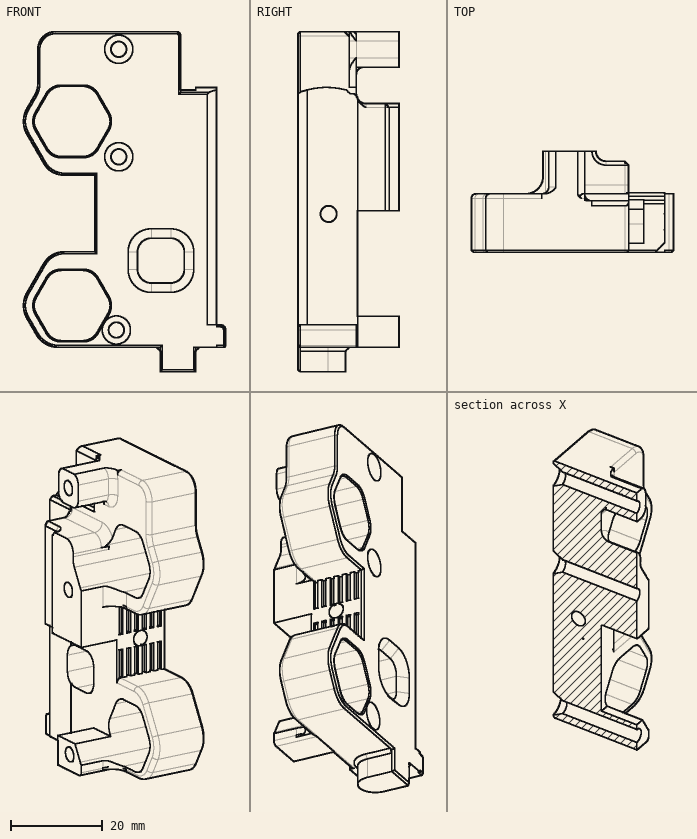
import cadquery as cq
import math


total_height = 74.15
plate_depth = 12.75
plate_left = 3.1
plate_right = 34.25
plate_bottom = 5.35
top_left_radius = 3.85
top_right_radius = 0.9
front_chamfer = 0.45
back_edge_radius = 1.0

bore_x = 10.6
lower_bore_z = 14.45
bore_spacing = 40.1
upper_bore_z = lower_bore_z + bore_spacing
bore_apothem = 7.65
bore_corner_radius = 3.55
bore_chamfer = 0.3
lobe_apothem = 9.9
lobe_tip_radius = 5.5
lobe_corner_radius = 5.05
lobe_reach = 11.7
neck_radius = 4.9
throat_x = 15.6

shelf_right = 42.1
shelf_depth = 13.0
shelf_edge_chamfer = 2.1
crown_y = 6.2
crown_top = 62.0
crown_radius = 16.7
crown_end_y = 10.5
shelf_back_step = 0.8
shelf_back_bevel = 0.75
shelf_slot_right = 37.5
shelf_slot_front = 2.0
shelf_slot_back = 11.4
shelf_slot_bottom = 51.9
slot_floor_end = 6.2
slot_floor_radius = 3.1

foot_right = 44.05
foot_top = 10.2
foot_top_radius = 1.05
tab_left = 29.8
tab_right = 37.5
tab_depth = 10.4
tab_root_flare = 0.8

back_reach = 22.0
screw_x = 20.75
lower_screw_x = 20.25
top_screw_z = 70.3
middle_screw_z = 46.85
lower_screw_z = 9.1
post_size = 7.85
post_radius = 2.1
post_root_radius = 1.5
block_top = 58.5
block_bottom = 35.1
block_left = 18.8
block_corner_radius = 2.75
block_step_x = 27.15
block_step_y = 19.9
block_step_radius = 2.15
block_edge_chamfer = 0.9
block_root_radius = 2.0
lower_post_top = 12.15
lower_post_radius = 1.0
web_radius = 3.7
relief_left = screw_x + post_size / 2
relief_y = 11.2
relief_bevel = 1.1

screw_diameter = 3.3
countersink_diameter = 6.15
countersink_depth = 2.5
window_x = 29.95
window_z = 24.25
window_width = 10.15
window_height = 9.7
window_radius = 3.0
window_bevel = 2.1
cross_hole_diameter = 3.5
cross_hole_y = 6.7
cross_hole_z = 34.4
groove_count = 6
groove_pitch = 2.0
groove_width = 1.0
groove_depth = 0.75
groove_gap = 3.55


def block(x0, x1, y0, y1, z0, z1):
    """Box between two corners."""
    return cq.Workplane("XY").box(x1 - x0, y1 - y0, z1 - z0, centered=False).translate((x0, y0, z0))


def hexagon(apothem, depth, z, radius):
    """Hexagonal prism with rounded corners, flats at top and bottom, running back from the front face."""
    return (
        cq.Workplane("XZ")
        .center(bore_x, z)
        .polygon(6, 2 * apothem / math.cos(math.radians(30)))
        .extrude(-depth)
        .edges("|Y")
        .fillet(radius)
    )


def lobe_corner_x(height):
    """X of the sloped lobe wall at a given distance above or below the bore centre."""
    tilt = math.radians(30)
    return bore_x - (lobe_apothem - abs(height) * math.sin(tilt)) / math.cos(tilt)


def edges_at(body, points, radius):
    """Round the edges running along Y that pass through the given X, Z points."""
    for x, z in points:
        near = 0.04
        box = cq.selectors.BoxSelector((x - near, -near, z - near), (x + near, back_reach, z + near))
        body = body.edges("|Y").edges(box).fillet(radius)
    return body


def make_relief():
    """Shallow cut across the back of the plate's upper right, bevelled at the top edge."""
    return (
        cq.Workplane("YZ")
        .moveTo(plate_depth, crown_top)
        .lineTo(relief_y, crown_top)
        .lineTo(relief_y, total_height - relief_bevel)
        .lineTo(relief_y - relief_bevel, total_height)
        .lineTo(plate_depth, total_height)
        .close()
        .extrude(plate_right - relief_left)
        .translate((relief_left, 0, 0))
    )


def make_plate():
    """Plate and both lobes from one outline, chamfered in front and rounded behind."""
    tip_x = lobe_corner_x(0)
    upper_bottom = upper_bore_z - lobe_reach
    lower_top = lower_bore_z + lobe_reach
    lower_drop = lower_bore_z - plate_bottom
    neck_z = upper_bore_z + (lobe_apothem - (bore_x - plate_left) * math.cos(math.radians(30))) * 2
    lobe_points = [
        (tip_x, upper_bore_z),
        (lobe_corner_x(lobe_reach), upper_bottom),
        (lobe_corner_x(lobe_reach), lower_top),
        (tip_x, lower_bore_z),
        (lobe_corner_x(lower_drop), plate_bottom),
    ]
    outline = [(plate_right, plate_bottom), (plate_right, total_height), (plate_left, total_height), (plate_left, neck_z)]
    outline += lobe_points[:2] + [(throat_x, upper_bottom), (throat_x, lower_top)] + lobe_points[2:]
    plate = cq.Workplane("XZ").polyline(outline).close().extrude(-plate_depth)
    plate = edges_at(plate, [lobe_points[0], lobe_points[3], lobe_points[4]], lobe_tip_radius)
    plate = edges_at(plate, lobe_points[1:3], lobe_corner_radius)
    plate = edges_at(plate, [(plate_left, neck_z)], neck_radius)
    plate = edges_at(plate, [(plate_left, total_height)], top_left_radius)
    plate = edges_at(plate, [(plate_right, total_height)], top_right_radius)
    plate = plate.cut(make_relief())
    plate = plate.faces("<Y").chamfer(front_chamfer)
    outer_left = cq.selectors.BoxSelector((-0.75, plate_depth - 0.1, 0), (throat_x - 0.4, plate_depth + 0.1, total_height + 0.75))
    return plate.edges(outer_left).fillet(back_edge_radius)


def make_shelf():
    """Shelf whose top is an arc seen along X, bevelled along its right front edge."""
    def arc_z(y):
        return crown_top - crown_radius + math.sqrt(crown_radius**2 - (y - crown_y) ** 2)

    front_z = arc_z(front_chamfer)
    shelf = (
        cq.Workplane("YZ")
        .moveTo(0, plate_bottom)
        .lineTo(0, front_z - front_chamfer)
        .lineTo(front_chamfer, front_z)
        .threePointArc((crown_y, crown_top), (crown_end_y, arc_z(crown_end_y)))
        .line(shelf_back_step, -shelf_back_step)
        .lineTo(shelf_depth - shelf_back_bevel, arc_z(crown_end_y) - shelf_back_step)
        .line(shelf_back_bevel, -shelf_back_bevel)
        .lineTo(shelf_depth, plate_bottom)
        .close()
        .extrude(shelf_right - plate_right + front_chamfer)
        .translate((plate_right - front_chamfer, 0, 0))
    )
    bevel = (
        cq.Workplane("XY")
        .moveTo(shelf_right, 0)
        .lineTo(shelf_right - shelf_edge_chamfer, 0)
        .lineTo(shelf_right, shelf_edge_chamfer)
        .close()
        .extrude(total_height)
    )
    return shelf.cut(bevel)


def make_shelf_slot():
    """Slot down into the shelf top; its floor rolls downward toward the back."""
    return (
        cq.Workplane("YZ")
        .moveTo(shelf_slot_front, total_height)
        .lineTo(shelf_slot_front, shelf_slot_bottom)
        .lineTo(slot_floor_end, shelf_slot_bottom)
        .radiusArc((slot_floor_end + slot_floor_radius, shelf_slot_bottom - slot_floor_radius), slot_floor_radius)
        .lineTo(shelf_slot_back, shelf_slot_bottom - slot_floor_radius)
        .lineTo(shelf_slot_back, total_height)
        .close()
        .extrude(shelf_slot_right - plate_right)
        .translate((plate_right, 0, 0))
    )


def make_foot():
    """Foot that runs out past the shelf at its lower end."""
    foot = block(plate_right - front_chamfer, foot_right, 0, plate_depth, plate_bottom, foot_top)
    foot = edges_at(foot, [(foot_right, foot_top)], foot_top_radius)
    foot = edges_at(foot, [(foot_right, plate_bottom)], front_chamfer)
    foot = foot.faces("<Y").edges(">X").chamfer(front_chamfer)
    return foot.union(block(plate_right - front_chamfer, shelf_right, 0, plate_depth, plate_bottom, foot_top))


def make_tab():
    """Tab below the plate with a half-round back and a sloped flare at its root."""
    half_width = (tab_right - tab_left) / 2

    def profile(z):
        return (
            cq.Workplane("XY", origin=(0, 0, z))
            .moveTo(tab_left, 0)
            .lineTo(tab_left, tab_depth - half_width)
            .threePointArc((tab_left + half_width, tab_depth), (tab_right, tab_depth - half_width))
            .lineTo(tab_right, 0)
            .close()
        )

    tab = profile(0).extrude(plate_bottom + 3 * front_chamfer)
    tab = tab.faces("<Y").edges().chamfer(front_chamfer)
    flare = profile(plate_bottom - tab_root_flare).extrude(tab_root_flare, taper=-45)
    behind_chamfer = block(0, foot_right, front_chamfer, plate_depth, 0, plate_bottom)
    return tab.union(flare.intersect(behind_chamfer))


def add_root_fillet(body, face_y, radius, z_min):
    """Stand a body on a flat pad whose back face is at face_y and round the joint above z_min."""
    pad = block(0, foot_right, face_y - radius, face_y, z_min, total_height + plate_depth)
    root = cq.selectors.BoxSelector(
        (throat_x, face_y - 0.1, z_min + 0.1), (plate_right - 0.1, face_y + 0.1, total_height + radius)
    )
    return pad.union(body).edges(root).fillet(radius)


def make_top_post():
    """Square post with rounded corners at the top screw, flared where it meets the plate."""
    half = post_size / 2
    reach = half + post_root_radius
    post = (
        cq.Workplane("XZ", origin=(screw_x, 0, top_screw_z))
        .rect(post_size, post_size)
        .extrude(-back_reach)
        .edges("|Y")
        .fillet(post_radius)
    )
    bottom = top_screw_z - reach
    left_trim = block(screw_x - reach, screw_x, plate_depth - back_edge_radius, back_reach, bottom, total_height)
    right_trim = block(screw_x, screw_x + reach, relief_y - relief_bevel, back_reach, bottom, total_height)
    left_half = add_root_fillet(post, plate_depth, post_root_radius, bottom - 0.75).intersect(left_trim)
    right_half = add_root_fillet(post, relief_y, post_root_radius, bottom - 0.75).intersect(right_trim)
    return left_half.union(right_half)


def make_middle_block():
    """Block on the back that steps down to the right and narrows to the left above the upper bore."""
    step_end = block_step_x + block_step_radius
    block_outline = (
        cq.Workplane("XY")
        .moveTo(throat_x, plate_depth - 0.75)
        .lineTo(throat_x, back_reach)
        .lineTo(block_step_x, back_reach)
        .radiusArc((step_end, block_step_y), -block_step_radius)
        .lineTo(plate_right, block_step_y)
        .lineTo(plate_right, plate_depth - 0.75)
        .close()
    )
    body = block_outline.extrude(block_top - block_bottom).translate((0, 0, block_bottom))
    body = edges_at(body, [(plate_right, block_top)], block_edge_chamfer)
    stepped_edges = cq.selectors.BoxSelector(
        (block_step_x, block_step_y - 0.1, block_top - 0.1), (plate_right - 0.75, back_reach, block_top + 0.1)
    )
    body = body.edges(stepped_edges).chamfer(block_edge_chamfer)
    body = body.cut(block(throat_x, block_left, 0, back_reach, upper_bore_z, block_top))
    body = edges_at(body, [(block_left, block_top)], block_corner_radius)
    root_trim = block(
        block_left - block_root_radius, plate_right,
        plate_depth, back_reach,
        block_top - block_corner_radius, block_top + block_root_radius,
    )
    upper_end = add_root_fillet(body, plate_depth, block_root_radius, upper_bore_z).intersect(root_trim)
    return body.union(upper_end)


def make_lower_post():
    """Short post on the back at the lower screw."""
    right = 2 * lower_screw_x - throat_x
    post = block(throat_x, right, plate_depth - 0.75, back_reach, plate_bottom, lower_post_top)
    return edges_at(post, [(throat_x, plate_bottom)], lower_post_radius)


def make_web(z0, z1):
    """Concave web between the back of a lobe and the left wall of a block."""
    return (
        cq.Workplane("XY", origin=(0, 0, z0))
        .moveTo(throat_x, plate_depth)
        .lineTo(throat_x - web_radius, plate_depth)
        .radiusArc((throat_x, plate_depth + web_radius), -web_radius)
        .close()
        .extrude(z1 - z0)
    )


def make_bore(z):
    """Hexagonal bore through plate and block with a chamfered mouth."""
    bore = hexagon(bore_apothem, back_reach, z, bore_corner_radius)
    mouth = bore.faces("<Y").wires().toPending().extrude(bore_chamfer, taper=-45)
    return bore.union(mouth.translate((0, bore_chamfer, 0)))


def make_screw_hole(x, z):
    """Through hole along Y, countersunk from the front."""
    hole = cq.Workplane("XZ", origin=(x, 0, z)).circle(screw_diameter / 2).extrude(-back_reach)
    sink = cq.Solid.makeCone(
        countersink_diameter / 2,
        screw_diameter / 2,
        countersink_depth,
        pnt=cq.Vector(x, 0, z),
        dir=cq.Vector(0, 1, 0),
    )
    return hole.union(cq.Workplane(sink))


def make_window():
    """Rounded window through the plate, bevelled at the front."""
    window = (
        cq.Workplane("XZ", origin=(window_x, 0, window_z))
        .rect(window_width, window_height)
        .extrude(-back_reach)
        .edges("|Y")
        .fillet(window_radius)
    )
    bevel = (
        cq.Workplane("XZ", origin=(window_x, window_bevel, window_z))
        .sketch()
        .rect(window_width, window_height)
        .vertices()
        .fillet(window_radius)
        .finalize()
        .extrude(window_bevel, taper=-45)
    )
    return window.union(bevel)


def make_grooves():
    """Rows of belt-tooth grooves in the throat wall, above and below the cross hole."""
    upper_bottom = upper_bore_z - lobe_reach
    lower_top = lower_bore_z + lobe_reach
    grooves = cq.Workplane("XY")
    for index in range(groove_count):
        y = cross_hole_y + (index - (groove_count - 1) / 2) * groove_pitch
        sides = (throat_x, throat_x + groove_depth, y - groove_width / 2, y + groove_width / 2)
        grooves = grooves.add(block(*sides, cross_hole_z + groove_gap / 2, upper_bottom))
        grooves = grooves.add(block(*sides, lower_top, cross_hole_z - groove_gap / 2))
    return grooves.combine()


def make_part():
    """Join the solid features, then cut the bores, holes, window, slot and grooves."""
    part = make_plate()
    part = part.union(make_shelf().cut(make_shelf_slot()))
    part = part.union(make_foot())
    part = part.union(make_tab())
    part = part.union(make_top_post())
    part = part.union(make_middle_block())
    part = part.union(make_lower_post())
    part = part.union(make_web(upper_bore_z - lobe_reach + front_chamfer, upper_bore_z))
    part = part.union(make_web(plate_bottom + front_chamfer, lower_bore_z))
    for bore_z in (lower_bore_z, upper_bore_z):
        part = part.cut(make_bore(bore_z))
    screws = [(screw_x, top_screw_z), (screw_x, middle_screw_z), (lower_screw_x, lower_screw_z)]
    for x, z in screws:
        part = part.cut(make_screw_hole(x, z))
    part = part.cut(make_window())
    part = part.cut(make_grooves())
    cross_hole = (
        cq.Workplane("YZ", origin=(throat_x, cross_hole_y, cross_hole_z))
        .circle(cross_hole_diameter / 2)
        .extrude(foot_right - throat_x)
    )
    return part.cut(cross_hole)


result = make_part()